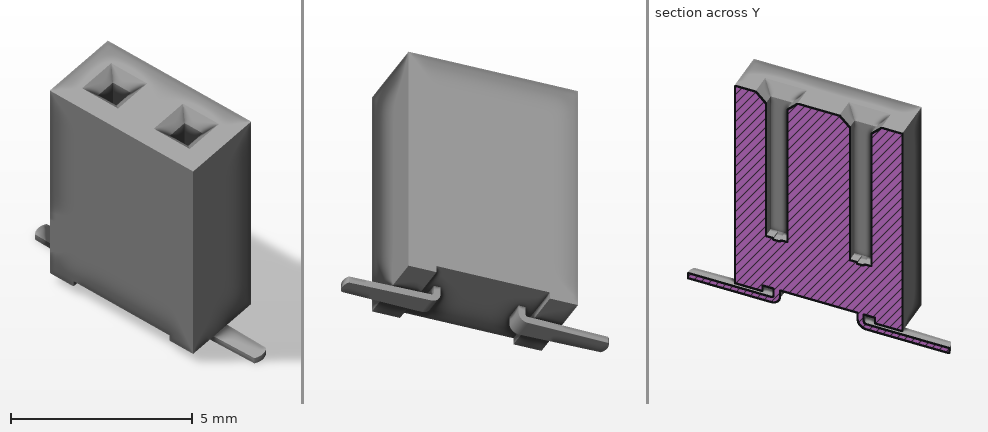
import cadquery as cq

pitch = 2.54
contact_count = 2
housing_length = contact_count * pitch
housing_width = pitch
housing_bottom = 0.3
housing_top = 7.3

relief_length = 3.4
relief_top = 0.5

entry_size = pitch / 2
well_size = 0.64
entry_depth = (entry_size - well_size) / 2
socket_depth = 5.0
well_floor = housing_top - socket_depth

slot_floor_length = 0.53
slot_depth = (well_size - slot_floor_length) / 2

strip_thickness = 0.2
strip_width = well_size
bend_outer_radius = 0.28
bend_inner_radius = bend_outer_radius - strip_thickness
foot_end_width = 0.52
foot_end_bulge = 0.08
foot_reach = 3.97
blade_top = well_floor - slot_depth

contact_x = pitch / 2
blade_inner_x = contact_x - strip_thickness / 2
blade_outer_x = contact_x + strip_thickness / 2
bend_x = blade_inner_x + bend_outer_radius


def make_housing():
    height = housing_top - housing_bottom
    body = (
        cq.Workplane("XY", origin=(0, 0, housing_bottom))
        .box(housing_length, housing_width, height, centered=(True, True, False))
    )
    relief = (
        cq.Workplane("XY", origin=(0, 0, housing_bottom))
        .box(relief_length, housing_width, relief_top - housing_bottom, centered=(True, True, False))
    )
    return body.cut(relief)


def make_socket(x):
    """Space removed by one socket: the funnel entry, the well and the slot in its floor."""
    entry = (
        cq.Workplane("XY", origin=(x, 0, housing_top))
        .rect(entry_size, entry_size)
        .workplane(offset=-entry_depth)
        .rect(well_size, well_size)
        .loft(ruled=True)
    )
    well = (
        cq.Workplane("XY", origin=(x, 0, well_floor))
        .box(well_size, well_size, housing_top - entry_depth - well_floor, centered=(True, True, False))
    )
    slot = (
        cq.Workplane("XY", origin=(x, 0, well_floor))
        .rect(strip_thickness, well_size)
        .workplane(offset=-slot_depth)
        .rect(strip_thickness, slot_floor_length)
        .loft(ruled=True)
    )
    return entry.union(well).union(slot)


def make_contact():
    """Contact on the +X side: upright blade, bend and foot along +X."""
    bent_strip = (
        cq.Workplane("XZ", origin=(0, strip_width / 2, 0))
        .moveTo(blade_inner_x, blade_top)
        .lineTo(blade_inner_x, bend_outer_radius)
        .radiusArc((bend_x, 0), -bend_outer_radius)
        .lineTo(foot_reach, 0)
        .lineTo(foot_reach, strip_thickness)
        .lineTo(bend_x, strip_thickness)
        .radiusArc((blade_outer_x, bend_outer_radius), bend_inner_radius)
        .lineTo(blade_outer_x, blade_top)
        .close()
        .extrude(strip_width)
    )

    foot_end_x = foot_reach - foot_end_bulge
    plan_prism = (
        cq.Workplane("XY")
        .moveTo(blade_inner_x, -strip_width / 2)
        .lineTo(bend_x, -strip_width / 2)
        .lineTo(foot_end_x, -foot_end_width / 2)
        .threePointArc((foot_reach, 0), (foot_end_x, foot_end_width / 2))
        .lineTo(bend_x, strip_width / 2)
        .lineTo(blade_inner_x, strip_width / 2)
        .close()
        .extrude(blade_top)
    )
    return bent_strip.intersect(plan_prism)


housing = make_housing()
for socket_x in (-contact_x, contact_x):
    housing = housing.cut(make_socket(socket_x))

contact = make_contact()
result = housing.union(contact).union(contact.mirror("YZ"))